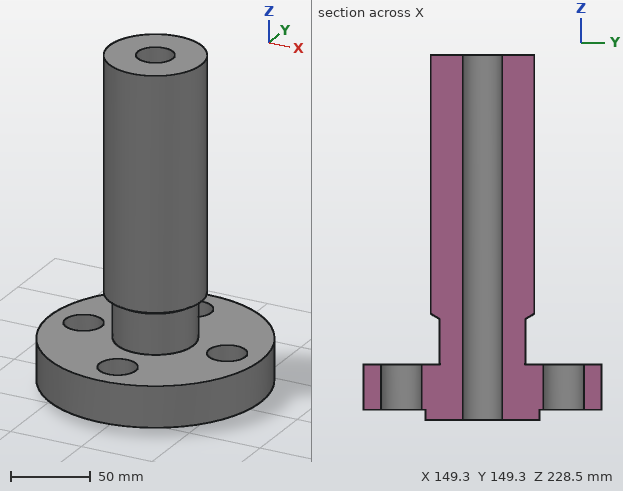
import cadquery as cq

total_height = 228.5
raised_face_height = 6.5
flange_thickness = 28.5
neck_length = 28.3
shoulder_height = 3.2

flange_diameter = 149.3
raised_face_diameter = 71.5
neck_diameter = 54.0
barrel_diameter = 65.0
bore_diameter = 24.5

bolt_count = 4
bolt_hole_diameter = 25.4
bolt_circle_diameter = 101.5

neck_root_bevel = 0.5

flange_top = raised_face_height + flange_thickness
neck_top = flange_top + neck_length
barrel_bottom = neck_top + shoulder_height


def make_body():
    """Revolve the stepped half profile about Z."""
    return (
        cq.Workplane("XZ")
        .moveTo(0, 0)
        .lineTo(raised_face_diameter / 2, 0)
        .lineTo(raised_face_diameter / 2, raised_face_height)
        .lineTo(flange_diameter / 2, raised_face_height)
        .lineTo(flange_diameter / 2, flange_top)
        .lineTo(neck_diameter / 2 - neck_root_bevel, flange_top)
        .lineTo(neck_diameter / 2, flange_top + neck_root_bevel)
        .lineTo(neck_diameter / 2, neck_top)
        .lineTo(barrel_diameter / 2, barrel_bottom)
        .lineTo(barrel_diameter / 2, total_height)
        .lineTo(0, total_height)
        .close()
        .revolve(360, (0, 0, 0), (0, 1, 0))
    )


def make_bore():
    """Straight bore through the full height."""
    return cq.Workplane("XY").circle(bore_diameter / 2).extrude(total_height)


def make_bolt_holes():
    """Bolt holes through the flange, on the X and Y axes."""
    return (
        cq.Workplane("XY")
        .workplane(offset=raised_face_height)
        .polarArray(bolt_circle_diameter / 2, 0, 360, bolt_count)
        .circle(bolt_hole_diameter / 2)
        .extrude(flange_thickness)
    )


result = make_body().cut(make_bore()).cut(make_bolt_holes())